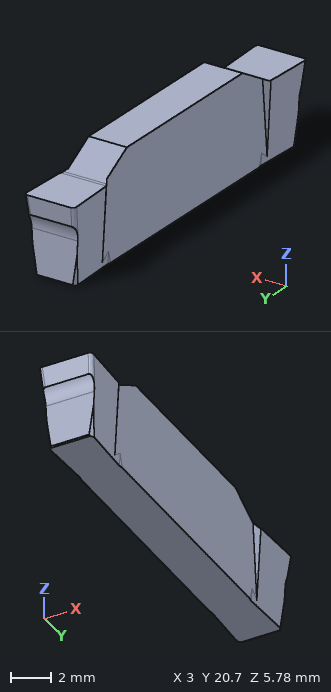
import cadquery as cq
import math

length = 20.7
half_length = length / 2
height = 5.78
body_width = 2.3
crown_half_length = 5.13
crown_ramp_angle = 30.0
ramp_fillet = 0.3

head_height = 4.57
head_width = 3.0
corner_radius = 0.2
head_back_y = 7.3
head_front_y = 9.83
side_taper_y = 0.042
side_taper_z = 0.055
lip_bottom_y = 10.16
lip_bottom_z = 3.44
neck_bottom_z = 2.57
shoulder_slope = 0.61
shoulder_length = 0.62
bottom_chamfer = 0.06

relief_start_y = 6.79
relief_end_y = 7.45
relief_wall_slope = 0.2

corner_cut_height = 1.75
corner_cut_x = 0.17
corner_cut_y = 0.27

outside = 2.48
margin = 0.2


def head_half_width(y, z):
    """Half width between the tapered head flanks at a given place."""
    widest_y = half_length - corner_radius
    return head_width / 2 - side_taper_y * (widest_y - y) - side_taper_z * (head_height - z)


def loft_sections(section, bottom, top):
    """Ruled solid between the plan outlines section(bottom) and section(top)."""
    return (
        cq.Workplane("XY").workplane(offset=bottom).polyline(section(bottom)).close()
        .workplane(offset=top - bottom).polyline(section(top)).close()
        .loft(ruled=True, combine=True)
    )


def both_sides(solid):
    return solid.union(solid.mirror("YZ"))


def relief_section(z):
    inner = head_half_width(relief_start_y, z)
    return [
        (inner, relief_start_y),
        (outside, relief_start_y - (outside - inner) / relief_wall_slope),
        (outside, relief_end_y),
        (head_half_width(relief_end_y, z), relief_end_y),
    ]


def head_section(z):
    back = head_half_width(head_back_y, z)
    blank_front_y = half_length + outside
    front = head_half_width(blank_front_y, z)
    shoulder = back - shoulder_slope * shoulder_length
    right = [(front, blank_front_y), (back, head_back_y), (shoulder, head_back_y - shoulder_length)]
    left = [(-x, y) for x, y in reversed(right)]
    return right + left


def corner_cut_section(z):
    """Triangle whose long side leans outward to miss the corner at the cut's top."""
    depth = 1 - z / corner_cut_height
    corner_x = head_half_width(head_front_y, z)
    reach = 2.0
    return [
        (corner_x - corner_cut_x * (depth + reach), head_front_y + corner_cut_y * reach),
        (corner_x + corner_cut_x * reach, head_front_y - corner_cut_y * (depth + reach)),
        (corner_x + corner_cut_x * reach, head_front_y + corner_cut_y * reach),
    ]


def make_side_profile():
    """Half-length silhouette in YZ, extruded across the full width."""
    ramp_end_y = crown_half_length + (height - head_height) / math.tan(math.radians(crown_ramp_angle))
    overhang = lip_bottom_y - head_front_y
    neck_height = lip_bottom_z - neck_bottom_z
    neck_radius = (overhang ** 2 + neck_height ** 2) / (2 * overhang)
    half_sweep = math.asin(neck_height / neck_radius) / 2
    neck_mid = (
        head_front_y + neck_radius * (1 - math.cos(half_sweep)),
        neck_bottom_z + neck_radius * math.sin(half_sweep),
    )
    profile = (
        cq.Workplane("YZ")
        .moveTo(0, 0)
        .lineTo(head_front_y - bottom_chamfer, 0)
        .lineTo(head_front_y, bottom_chamfer)
        .lineTo(head_front_y, neck_bottom_z)
        .threePointArc(neck_mid, (lip_bottom_y, lip_bottom_z))
        .lineTo(half_length, head_height)
        .lineTo(ramp_end_y, head_height)
        .lineTo(crown_half_length, height)
        .lineTo(0, height)
        .close()
        .extrude(outside, both=True)
    )
    at_ramp_end = cq.selectors.BoxSelector(
        (-outside, ramp_end_y - margin, head_height - margin), (outside, ramp_end_y + margin, head_height + margin)
    )
    return profile.edges(at_ramp_end).fillet(ramp_fillet)


def make_body():
    body = cq.Workplane("XY").box(body_width, relief_end_y, height, centered=(True, False, False))
    return body.cut(both_sides(loft_sections(relief_section, 0, head_height)))


def make_head(profile):
    """Tapered head with rounded lip corners and a square-cornered lower front."""
    blank = loft_sections(head_section, 0, height)
    lip_slope = (half_length - lip_bottom_y) / (head_height - lip_bottom_z)
    lip_side = (
        cq.Workplane("YZ")
        .polyline([
            (0, 0),
            (half_length - lip_slope * head_height, 0),
            (half_length + lip_slope * (height - head_height), height),
            (0, height),
        ])
        .close()
        .extrude(outside, both=True)
    )
    rounded_part = blank.intersect(lip_side)
    front_corners = cq.selectors.BoxSelector(
        (-outside, half_length - lip_slope * head_height, margin),
        (outside, half_length + margin, height - margin),
    )
    rounded_part = rounded_part.edges(front_corners).fillet(corner_radius)
    square_part_top = (neck_bottom_z + lip_bottom_z) / 2
    square_part = blank.intersect(
        cq.Workplane("XY").box(2 * outside, head_front_y, square_part_top, centered=(True, False, False))
    )
    head = rounded_part.union(square_part).intersect(profile)
    return head.cut(both_sides(loft_sections(corner_cut_section, 0, corner_cut_height)))


side_profile = make_side_profile()
half_insert = make_body().intersect(side_profile).union(make_head(side_profile))
result = half_insert.union(half_insert.mirror("XZ")).clean()